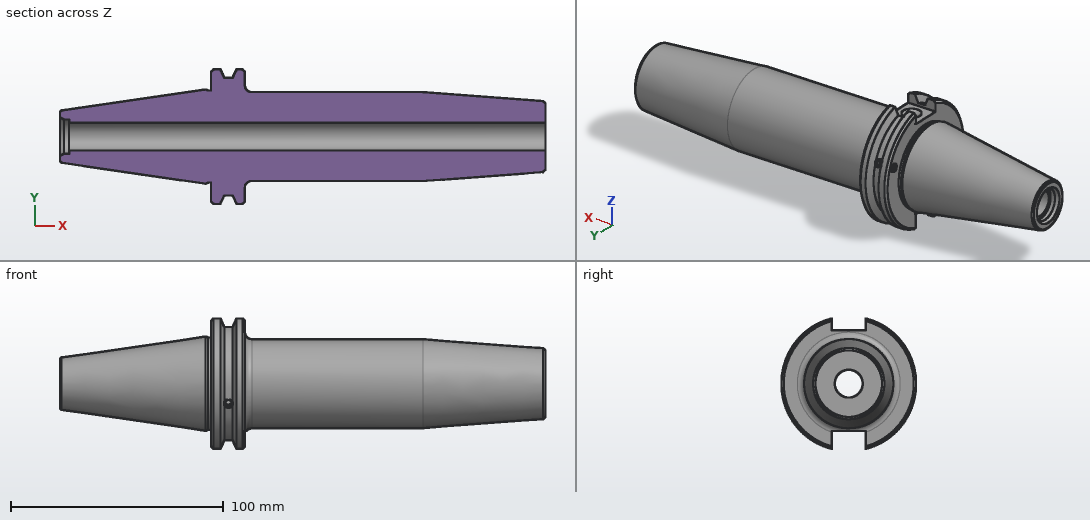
import cadquery as cq
import math

total_length = 228.2
x_start = -total_length / 2

taper_length = 68.5
taper_large_radius = 22.25
taper_rate = 7 / 24
taper_small_radius = taper_large_radius - taper_length * taper_rate / 2
taper_end_chamfer = 0.7

neck_radius = 21.8
neck_step_length = 1.1

flange_start = 71.0
flange_width = 16.0
flange_end = flange_start + flange_width
flange_radius = 31.7
flange_chamfer = 1.1
groove_radius = 27.8
groove_center = flange_start + 8.2
groove_rim_width = 7.5
groove_floor_width = 3.9

body_radius = 21.0
body_fillet = 3.2
nose_start = 170.7
nose_radius = 33.5 / 2
nose_chamfer = 1.1

bore_diameter = 13.0
counterbore_diameter = 16.0
counterbore_depth = 4.3
mouth_diameter = 18.0
mouth_depth = 1.8

drill_point_angle = 118.0

slot_width = 16.0
upper_slot_floor = 25.0
lower_slot_floor = 22.4
dimple_diameter = 9.5

coolant_mouth_diameter = 4.0
coolant_mouth_depth = 1.1
coolant_diameter = 3.2
coolant_depth = 3.5
coolant_circle_radius = 27.0
coolant_angle = 20.0


def make_outer_body():
    groove_rim_half = groove_rim_width / 2
    groove_floor_half = groove_floor_width / 2
    fillet_center = (flange_end + body_fillet, body_radius + body_fillet)
    fillet_middle = (
        fillet_center[0] - body_fillet * math.sqrt(0.5),
        fillet_center[1] - body_fillet * math.sqrt(0.5),
    )
    profile = (
        cq.Workplane("XY", origin=(x_start, 0, 0))
        .moveTo(0, 0)
        .lineTo(0, taper_small_radius - taper_end_chamfer)
        .lineTo(taper_end_chamfer, taper_small_radius + taper_end_chamfer * taper_rate / 2)
        .lineTo(taper_length, taper_large_radius)
        .lineTo(taper_length + neck_step_length, neck_radius)
        .lineTo(flange_start, neck_radius)
        .lineTo(flange_start, flange_radius - flange_chamfer)
        .lineTo(flange_start + flange_chamfer, flange_radius)
        .lineTo(groove_center - groove_rim_half, flange_radius)
        .lineTo(groove_center - groove_floor_half, groove_radius)
        .lineTo(groove_center + groove_floor_half, groove_radius)
        .lineTo(groove_center + groove_rim_half, flange_radius)
        .lineTo(flange_end - flange_chamfer, flange_radius)
        .lineTo(flange_end, flange_radius - flange_chamfer)
        .lineTo(flange_end, body_radius + body_fillet)
        .threePointArc(fillet_middle, (flange_end + body_fillet, body_radius))
        .lineTo(nose_start, body_radius)
        .lineTo(total_length - nose_chamfer, nose_radius)
        .lineTo(total_length, nose_radius - nose_chamfer)
        .lineTo(total_length, 0)
        .close()
    )
    return profile.revolve(360, (0, 0, 0), (1, 0, 0))


def make_bore():
    profile = (
        cq.Workplane("XY", origin=(x_start, 0, 0))
        .moveTo(0, 0)
        .lineTo(0, mouth_diameter / 2)
        .lineTo(mouth_depth, counterbore_diameter / 2)
        .lineTo(counterbore_depth, counterbore_diameter / 2)
        .lineTo(counterbore_depth, bore_diameter / 2)
        .lineTo(total_length, bore_diameter / 2)
        .lineTo(total_length, 0)
        .close()
    )
    return profile.revolve(360, (0, 0, 0), (1, 0, 0))


def make_drive_slot(floor_height, side):
    """Slot cutter across the flange and fillet; side is +1 above the axis and -1 below it."""
    length = flange_width + body_fillet
    height = flange_radius - floor_height
    center = (
        x_start + flange_start + length / 2,
        0,
        side * (floor_height + height / 2),
    )
    return cq.Workplane("XY", origin=center).box(length, slot_width, height)


def make_dimple():
    radius = dimple_diameter / 2
    depth = radius / math.tan(math.radians(drill_point_angle / 2))
    center = cq.Vector(x_start + groove_center, 0, upper_slot_floor)
    return cq.Solid.makeCone(radius, 0, depth, center, cq.Vector(0, 0, -1))


def make_blind_hole(start, direction, lead_in=0.0):
    """Stepped hole with a conical tip; lead_in extends its mouth back out of the surface."""
    mouth_radius = coolant_mouth_diameter / 2
    radius = coolant_diameter / 2
    tip_length = radius / math.tan(math.radians(drill_point_angle / 2))
    mouth_start = start - direction * lead_in
    mouth = cq.Solid.makeCylinder(mouth_radius, coolant_mouth_depth + lead_in, mouth_start, direction)
    shaft = cq.Solid.makeCylinder(radius, coolant_depth, start, direction)
    tip = cq.Solid.makeCone(radius, 0, tip_length, start + direction * coolant_depth, direction)
    return mouth.fuse(shaft, tip)


def make_coolant_holes(side):
    """Axial and radial hole pair; side is +1 towards +Y, +Z and -1 opposite."""
    angle = math.radians(coolant_angle)
    outward = cq.Vector(0, side * math.cos(angle), side * math.sin(angle))
    axial_start = cq.Vector(x_start + flange_start, 0, 0) + outward * coolant_circle_radius
    radial_start = cq.Vector(x_start + groove_center, 0, 0) + outward * groove_radius
    axial_hole = make_blind_hole(axial_start, cq.Vector(1, 0, 0))
    radial_hole = make_blind_hole(radial_start, outward * -1, flange_radius - groove_radius)
    return axial_hole.fuse(radial_hole)


result = make_outer_body().cut(make_bore())
result = result.cut(make_drive_slot(upper_slot_floor, 1))
result = result.cut(make_drive_slot(lower_slot_floor, -1))
result = result.cut(make_dimple())
for side in (1, -1):
    result = result.cut(make_coolant_holes(side))